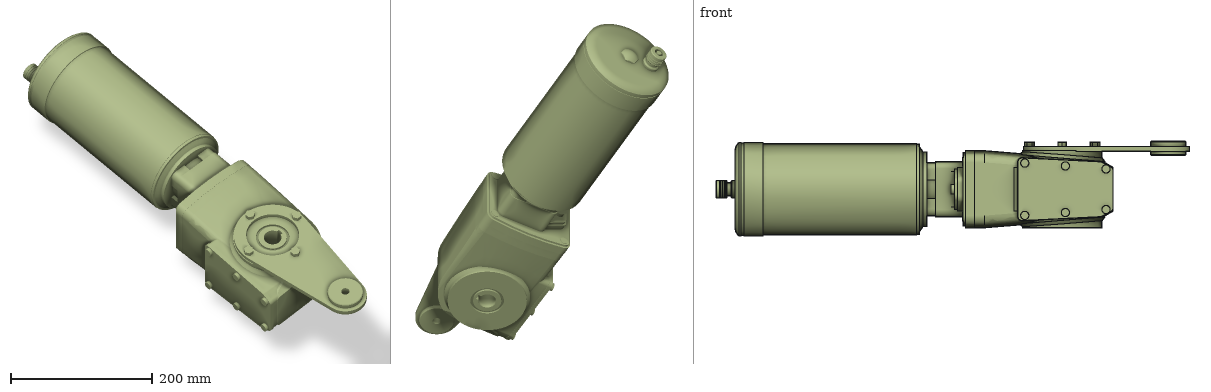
import cadquery as cq
import math


motor_y = 21.5
motor_face_x = -463.0
motor_face_radius = 53.0
motor_dome_mid_x = -461.2
motor_dome_mid_radius = 61.1
motor_cap_radius = 132.98 / 2
motor_cap_edge_x = -457.0
motor_cap_end_x = -423.0
cap_groove_start_x = -454.0
cap_groove_end_x = -450.0
motor_body_radius = 129.0 / 2
motor_body_end_x = -202.0
motor_groove_x = -206.0
motor_groove_depth = 0.8
motor_shoulder_radius = 60.0
motor_taper_end_x = -197.0
motor_flange_radius = 53.0
motor_flange_end_x = -191.5

neck_width = 76.5
neck_height = 78.0
neck_foot_width = 75.5
neck_corner_radius = 9.5
neck_window_width = 26.0
neck_foot_end_x = -179.0
neck_core_radius = 35.0

housing_start_x = -137.0
housing_flange_end_x = -124.0
housing_shoulder_end_x = -110.0
housing_shoulder_step = 0.3
housing_end_x = 72.0
housing_side_y = -59.0
housing_back_y = 74.0
housing_round_radius = 70.0
housing_half_height = 54.9
housing_end_half_height = 40.0
housing_crown = 7.0
housing_corner_radius = 12.0
adapter_start_x = -141.0
adapter_plate_thickness = 3.0
adapter_inset = 3.0
adapter_screw_diameter = 11.6
adapter_screw_inset_y = 11.0
adapter_screw_z = 39.0

cover_start_x = -63.0
cover_start_half_height = 45.0
cover_corner_x = 56.0
cover_corner_half_height = 39.0
cover_end_half_height = 31.0
cover_base_y = -66.5
cover_outer_y = -72.0
cover_corner_radius = 6.0
cover_lip = 0.7
cover_blend_radius = 5.5
cover_block_depth = 50.0
cover_screw_diameter = 11.6
cover_screw_end_y = -76.5
cover_screws = ((-53.0, 37.0), (4.5, 33.0), (62.0, 28.7))

inspection_inner_y = -14.0
inspection_inner_half = 32.0
inspection_outer_y = -47.0
inspection_outer_half = 15.0
inspection_corner_radius = 9.0
inspection_start_x = -152.0
inspection_rim = 2.0
inspection_step = 4.0
inspection_blend_radius = 4.5
inspection_blend_half_height = 25.0
inspection_screw_y = -33.0
inspection_screw_diameter = 14.0
inspection_screw_start_x = -157.0

hub_radius = 56.0
hub_base_radius = 61.0
hub_half_height = 54.5
hub_flare_z = 44.0
hub_flare_height = 5.0
bearing_recess_diameter = 47.5
bearing_recess_depth = 3.0
output_shaft_diameter = 40.0
output_bore_diameter = 25.0
keyway_width = 8.0
keyway_top = 15.8

arm_bottom_z = 53.5
arm_top_z = 60.5
arm_radius = 55.0
arm_length = 150.0
arm_tip_radius = 30.4
arm_opening_diameter = 75.0
arm_screw_count = 4
arm_screw_circle_radius = 46.5
arm_screw_diameter = 14.0
arm_screw_height = 6.0
bushing_diameter = 50.0
bushing_bottom_z = 48.0
bushing_top_z = 68.0
bushing_chamfer = 1.0
bushing_bore = 11.6

gland_y = -11.7
gland_tip_x = -490.0
gland_nut_end_x = -474.0
gland_base_x = -468.5
gland_diameter = 25.0
gland_collar_chamfer = 1.5
gland_neck_diameter = 19.0
gland_nut_chamfer = 1.0
gland_groove_diameter = 23.5
gland_groove_width = 1.5
gland_groove_pitch = 3.5
gland_groove_count = 3
gland_bore = 13.0
gland_bore_depth = 8.0
gland_pin_diameter = 7.0
plug_across_flats = 24.0
plug_height = 7.0
plug_dome_radius = 20.0

blend_root = 1.0


def rod_x(start_x, end_x, radius, y, z=0.0):
    """Cylinder along X."""
    plane = cq.Workplane("YZ", origin=(start_x, y, z))
    return plane.circle(radius).extrude(end_x - start_x)


def rod_z(start_z, end_z, radius, x=0.0, y=0.0):
    """Cylinder along Z."""
    plane = cq.Workplane("XY", origin=(x, y, start_z))
    return plane.circle(radius).extrude(end_z - start_z)


def concave_blend(corner_x, corner_y, radius, half_height):
    """Concave fillet for a corner that opens toward -X and -Y, running along Z."""
    arc_offset = radius * (1 - math.sqrt(0.5))
    return (
        cq.Workplane("XY", origin=(corner_x, corner_y, -half_height))
        .moveTo(blend_root, blend_root)
        .lineTo(-radius, blend_root)
        .lineTo(-radius, 0)
        .threePointArc((-arc_offset, -arc_offset), (0, -radius))
        .lineTo(blend_root, -radius)
        .close()
        .extrude(2 * half_height)
    )


def make_motor():
    """Turned motor shell with a domed end cap, plus its front flange."""
    groove_radius = motor_cap_radius - motor_groove_depth
    body_groove_radius = motor_body_radius - motor_groove_depth
    profile = (
        cq.Workplane("XY")
        .moveTo(motor_face_x, 0)
        .lineTo(motor_face_x, motor_face_radius)
        .threePointArc((motor_dome_mid_x, motor_dome_mid_radius), (motor_cap_edge_x, motor_cap_radius))
        .lineTo(cap_groove_start_x, motor_cap_radius)
        .lineTo(cap_groove_start_x, groove_radius)
        .lineTo(cap_groove_end_x, groove_radius)
        .lineTo(cap_groove_end_x, motor_cap_radius)
        .lineTo(motor_cap_end_x, motor_cap_radius)
        .lineTo(motor_cap_end_x, motor_body_radius)
        .lineTo(motor_groove_x, motor_body_radius)
        .lineTo(motor_groove_x, body_groove_radius)
        .lineTo(motor_body_end_x, body_groove_radius)
        .lineTo(motor_body_end_x, motor_shoulder_radius)
        .lineTo(motor_taper_end_x, motor_flange_radius)
        .lineTo(motor_flange_end_x, motor_flange_radius)
        .lineTo(motor_flange_end_x, 0)
        .close()
    )
    return profile.revolve(360, (0, 0, 0), (1, 0, 0)).translate((0, motor_y, 0))


def make_neck():
    """Square neck standing on a narrower foot with a window in each side."""
    plane = cq.Workplane("YZ", origin=(neck_foot_end_x, motor_y, 0))
    neck = plane.rect(neck_width, neck_height).extrude(housing_start_x - neck_foot_end_x)
    neck = neck.edges("|X").fillet(neck_corner_radius)
    foot_length = neck_foot_end_x - motor_flange_end_x
    foot_plane = cq.Workplane("YZ", origin=(motor_flange_end_x, motor_y, 0))
    foot = foot_plane.rect(neck_foot_width, neck_foot_width).extrude(foot_length)
    foot = foot.edges("|X").fillet(neck_corner_radius)
    foot = foot.cut(foot_plane.rect(neck_window_width, neck_foot_width).extrude(foot_length))
    foot = foot.cut(foot_plane.rect(neck_foot_width, neck_window_width).extrude(foot_length))
    core = rod_x(motor_flange_end_x, neck_foot_end_x, neck_core_radius, motor_y)
    return neck.union(foot).union(core)


def housing_section(workplane, half_height, step=0.0):
    """Section with straight sides and crowned top and bottom, stepped in all round."""
    side_y = housing_side_y + step
    back_y = housing_back_y - step
    crown_z = half_height - step
    edge_z = crown_z - housing_crown
    mid_y = (side_y + back_y) / 2
    return (
        workplane.moveTo(side_y, -edge_z)
        .threePointArc((mid_y, -crown_z), (back_y, -edge_z))
        .lineTo(back_y, edge_z)
        .threePointArc((mid_y, crown_z), (side_y, edge_z))
        .close()
    )


def housing_prism(start_x, end_x, step):
    """Straight stretch of the housing with rounded long edges."""
    plane = cq.Workplane("YZ", origin=(start_x, 0, 0))
    prism = housing_section(plane, housing_half_height, step).extrude(end_x - start_x)
    return prism.edges("|X").fillet(housing_corner_radius)


def make_housing():
    """Flanged, crowned box, tapering toward +X and rounded about the output shaft."""
    flange = housing_prism(housing_start_x, housing_flange_end_x, 0)
    shoulder = housing_prism(housing_flange_end_x, housing_shoulder_end_x, housing_shoulder_step)

    taper_length = housing_end_x - housing_shoulder_end_x
    taper_start = cq.Workplane("YZ", origin=(housing_shoulder_end_x, 0, 0))
    taper = housing_section(taper_start, housing_half_height, housing_shoulder_step)
    taper = taper.workplane(offset=taper_length)
    taper = housing_section(taper, housing_end_half_height, housing_shoulder_step)
    taper = taper.loft(ruled=True, combine=True)
    taper = taper.edges("not(<X or >X)").fillet(housing_corner_radius)

    diagonal = housing_round_radius * math.sqrt(0.5)
    plan = (
        cq.Workplane("XY", origin=(0, 0, -housing_half_height))
        .moveTo(housing_start_x, housing_side_y)
        .lineTo(housing_start_x, housing_back_y)
        .lineTo(housing_shoulder_end_x, housing_back_y)
        .lineTo(0, housing_round_radius)
        .threePointArc((diagonal, diagonal), (housing_round_radius, 0))
        .lineTo(housing_end_x, housing_side_y)
        .close()
        .extrude(2 * housing_half_height)
    )
    elevation = (
        cq.Workplane("XZ", origin=(0, housing_back_y, 0))
        .moveTo(housing_start_x, housing_half_height)
        .lineTo(cover_start_x, housing_half_height)
        .lineTo(cover_corner_x, housing_end_half_height)
        .lineTo(housing_end_x, cover_end_half_height)
        .lineTo(housing_end_x, -cover_end_half_height)
        .lineTo(cover_corner_x, -housing_end_half_height)
        .lineTo(cover_start_x, -housing_half_height)
        .lineTo(housing_start_x, -housing_half_height)
        .close()
        .extrude(housing_back_y - housing_side_y)
    )
    return flange.union(shoulder).union(taper).intersect(plan).intersect(elevation)


def make_adapter_plate():
    """Thin plate with corner screws on the motor side of the housing."""
    plate_x = housing_start_x - adapter_plate_thickness
    plane = cq.Workplane("YZ", origin=(plate_x, 0, 0))
    plate = housing_section(plane, housing_half_height).extrude(adapter_plate_thickness)
    plate = plate.edges("|X").fillet(housing_corner_radius)
    plate = plate.faces("<X").wires().toPending().workplane()
    plate = plate.offset2D(-adapter_inset).extrude(-adapter_plate_thickness, combine=False)
    for y in (housing_side_y + adapter_screw_inset_y, housing_back_y - adapter_screw_inset_y):
        for z in (-adapter_screw_z, adapter_screw_z):
            plate = plate.union(rod_x(adapter_start_x, housing_start_x, adapter_screw_diameter / 2, y, z))
    return plate


def cover_outline(start_y, end_y, lip):
    """Side cover outline, set in by lip and symmetric about Z = 0, from start_y to end_y."""
    upper = [
        (cover_start_x + lip, cover_start_half_height - lip),
        (cover_corner_x, cover_corner_half_height - lip),
        (housing_end_x - lip, cover_end_half_height - lip),
    ]
    lower = [(x, -z) for x, z in reversed(upper)]
    plane = cq.Workplane("XZ", origin=(0, start_y, 0))
    solid = plane.polyline(upper + lower).close().extrude(start_y - end_y)
    return solid.edges("|Y").fillet(cover_corner_radius)


def make_side_cover():
    """Housing block, cover plate and its screws on the -Y side."""
    block = cover_outline(cover_base_y + cover_block_depth, cover_base_y, cover_lip)
    plate = cover_outline(cover_base_y, cover_outer_y, 0)
    blend = concave_blend(cover_start_x, housing_side_y, cover_blend_radius, cover_end_half_height)
    cover = block.union(plate).union(blend)
    for x, height in cover_screws:
        for z in (height, -height):
            head = cq.Workplane("XZ", origin=(x, cover_outer_y, z)).circle(cover_screw_diameter / 2)
            cover = cover.union(head.extrude(cover_outer_y - cover_screw_end_y))
    return cover


def make_inspection_cover():
    """Stepped cover with a rounded tip, seated on the motor side of the housing."""
    def tier(start_x, inset):
        inner_half = inspection_inner_half - inset
        outer_half = inspection_outer_half - inset
        outer_y = inspection_outer_y + inset
        points = [
            (inspection_inner_y, inner_half),
            (outer_y, outer_half),
            (outer_y, -outer_half),
            (inspection_inner_y, -inner_half),
        ]
        plane = cq.Workplane("YZ", origin=(start_x, 0, 0))
        solid = plane.polyline(points).close().extrude(housing_start_x - start_x)
        return solid.edges("|X and <Y").fillet(inspection_corner_radius)

    cover = tier(inspection_start_x + inspection_step, 0)
    cover = cover.union(tier(inspection_start_x, inspection_rim))
    screw_radius = inspection_screw_diameter / 2
    screw = rod_x(inspection_screw_start_x, inspection_start_x, screw_radius, inspection_screw_y)
    blend = concave_blend(
        inspection_start_x,
        motor_y - neck_width / 2,
        inspection_blend_radius,
        inspection_blend_half_height,
    )
    return cover.union(screw).union(blend)


def make_hub():
    """Output hub with a flare at both ends that leans with the sloping housing."""
    hub = rod_z(-hub_half_height, hub_half_height, hub_radius)
    taper_length = housing_end_x - housing_shoulder_end_x
    lean = math.degrees(math.atan2(housing_half_height - housing_end_half_height, taper_length))
    flare = (
        cq.Workplane("XZ")
        .moveTo(0, 0)
        .lineTo(hub_base_radius, 0)
        .lineTo(hub_radius, hub_flare_height)
        .lineTo(0, hub_flare_height)
        .close()
        .revolve(360, (0, 0, 0), (0, 1, 0))
        .rotate((0, 0, 0), (0, 1, 0), lean)
        .translate((0, 0, hub_flare_z))
    )
    return hub.union(flare).union(flare.mirror("XY"))


def cut_output_bore(part):
    """Keyed through bore, with a ring recess around the hollow shaft at both ends."""
    height = 2 * hub_half_height
    part = part.cut(rod_z(-hub_half_height, hub_half_height, output_bore_diameter / 2))
    keyway = cq.Workplane("XY").box(keyway_width, keyway_top, height).translate((0, keyway_top / 2, 0))
    part = part.cut(keyway)
    for start_z in (-hub_half_height, hub_half_height - bearing_recess_depth):
        ring = cq.Workplane("XY", origin=(0, 0, start_z)).circle(bearing_recess_diameter / 2)
        part = part.cut(ring.circle(output_shaft_diameter / 2).extrude(bearing_recess_depth))
    return part


def make_torque_arm():
    """Teardrop arm with hub opening, screws on a circle and a bushing at the tip."""
    cos_tangent = (arm_radius - arm_tip_radius) / arm_length
    sin_tangent = math.sqrt(1 - cos_tangent ** 2)
    hub_x = arm_radius * cos_tangent
    hub_y = arm_radius * sin_tangent
    tip_x = arm_length + arm_tip_radius * cos_tangent
    tip_y = arm_tip_radius * sin_tangent
    arm = (
        cq.Workplane("XY", origin=(0, 0, arm_bottom_z))
        .moveTo(hub_x, hub_y)
        .threePointArc((-arm_radius, 0), (hub_x, -hub_y))
        .lineTo(tip_x, -tip_y)
        .threePointArc((arm_length + arm_tip_radius, 0), (tip_x, tip_y))
        .close()
        .extrude(arm_top_z - arm_bottom_z)
    )
    arm = arm.cut(rod_z(arm_bottom_z, arm_top_z, arm_opening_diameter / 2))
    heads = (
        cq.Workplane("XY", origin=(0, 0, arm_top_z))
        .polarArray(arm_screw_circle_radius, 0, 360, arm_screw_count)
        .polygon(6, arm_screw_diameter)
        .extrude(arm_screw_height)
    )
    bushing = rod_z(bushing_bottom_z, bushing_top_z, bushing_diameter / 2, arm_length)
    bushing = bushing.faces("<Z or >Z").edges().chamfer(bushing_chamfer)
    bore = rod_z(bushing_bottom_z, bushing_top_z, bushing_bore / 2, arm_length)
    return arm.union(heads).union(bushing).cut(bore)


def make_gland():
    """Cable gland: base collar, neck and grooved nut with an open end."""
    gland = rod_x(gland_base_x, motor_face_x, gland_diameter / 2, gland_y)
    gland = gland.faces("<X").chamfer(gland_collar_chamfer)
    gland = gland.union(rod_x(gland_nut_end_x, gland_base_x, gland_neck_diameter / 2, gland_y))
    nut = rod_x(gland_tip_x, gland_nut_end_x, gland_diameter / 2, gland_y)
    nut = nut.edges().chamfer(gland_nut_chamfer)
    for index in range(gland_groove_count):
        start_x = gland_nut_end_x - (index + 1) * gland_groove_pitch
        groove = cq.Workplane("YZ", origin=(start_x, gland_y, 0)).circle(gland_diameter / 2)
        groove = groove.circle(gland_groove_diameter / 2).extrude(gland_groove_width)
        nut = nut.cut(groove)
    bore = rod_x(gland_tip_x, gland_tip_x + gland_bore_depth, gland_bore / 2, gland_y)
    pin = rod_x(gland_tip_x, gland_tip_x + gland_bore_depth, gland_pin_diameter / 2, gland_y)
    return gland.union(nut).cut(bore).union(pin)


def make_plug():
    """Domed hexagonal plug in the middle of the motor face."""
    across_corners = plug_across_flats / math.cos(math.pi / 6)
    tip_x = motor_face_x - plug_height
    hexagon = cq.Workplane("YZ", origin=(tip_x, motor_y, 0)).polygon(6, across_corners).extrude(plug_height)
    dome = cq.Workplane("XY").sphere(plug_dome_radius).translate((tip_x + plug_dome_radius, motor_y, 0))
    return hexagon.intersect(dome)


result = make_motor()
result = result.union(make_neck())
result = result.union(make_housing())
result = result.union(make_adapter_plate())
result = result.union(make_side_cover())
result = result.union(make_inspection_cover())
result = result.union(make_hub())
result = cut_output_bore(result)
result = result.union(make_torque_arm())
result = result.union(make_gland())
result = result.union(make_plug())